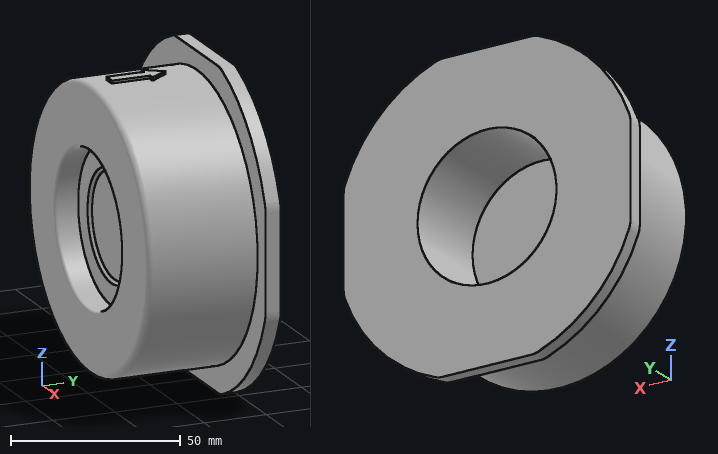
import cadquery as cq

flange_width = 101.6
flange_radius = 53.5
flange_thickness = 5.0
flange_corner_radius = 8.0

total_length = 40.0
barrel_radius = 45.0
barrel_edge_radius = 2.0
front_y = -total_length

bore_radius = 24.6
bore_edge_radius = 0.9

disc_setback = 7.5
disc_thickness = 3.0
dish_radius = 17.7
dish_depth = 1.0
dish_wall_angle = 45.0
disc_front_y = front_y + disc_setback

arrow_height = 0.8
arrow_root_depth = 1.0
arrow_tip_y = -15.0
arrow_length = 18.2
arrow_head_length = 6.0
arrow_head_width = 8.0
arrow_shaft_width = 4.2


def cylinder(radius, y_start, y_end):
    """Solid cylinder along Y between two Y positions."""
    return cq.Workplane("XZ", origin=(0, y_end, 0)).circle(radius).extrude(y_end - y_start)


def make_flange():
    square = cq.Workplane("XZ").rect(flange_width, flange_width).extrude(flange_thickness)
    plate = cylinder(flange_radius, -flange_thickness, 0).intersect(square)
    return plate.edges("|Y").fillet(flange_corner_radius)


def make_barrel():
    return cylinder(barrel_radius, front_y, 0).faces("<Y").edges().fillet(barrel_edge_radius)


def make_arrow():
    tail_y = arrow_tip_y - arrow_length
    shoulder_y = arrow_tip_y - arrow_head_length
    half_head = arrow_head_width / 2
    half_shaft = arrow_shaft_width / 2
    outline = [
        (0, arrow_tip_y),
        (half_head, shoulder_y),
        (half_shaft, shoulder_y),
        (half_shaft, tail_y),
        (-half_shaft, tail_y),
        (-half_shaft, shoulder_y),
        (-half_head, shoulder_y),
    ]
    root = cq.Workplane("XY", origin=(0, 0, barrel_radius - arrow_root_depth))
    return root.polyline(outline).close().extrude(arrow_root_depth + arrow_height)


def make_housing():
    body = make_barrel().union(make_flange()).union(make_arrow())
    body = body.cut(cylinder(bore_radius, front_y, 0))
    bore_front_edge = cq.selectors.RadiusNthSelector(0)
    return body.faces("<Y").edges(bore_front_edge).fillet(bore_edge_radius)


def make_disc():
    plate = cylinder(bore_radius, disc_front_y, disc_front_y + disc_thickness)
    dish = (
        cq.Workplane("XZ", origin=(0, disc_front_y, 0))
        .circle(dish_radius)
        .extrude(-dish_depth, taper=dish_wall_angle)
    )
    return plate.cut(dish)


housing = make_housing()
disc = make_disc()
result = cq.Compound.makeCompound([housing.solids().val(), disc.solids().val()])